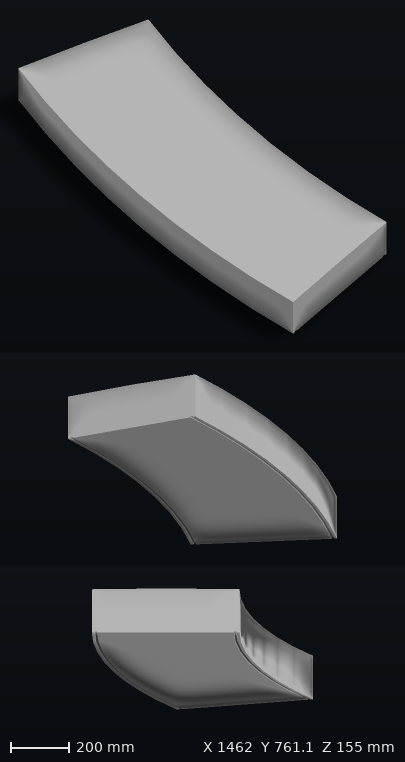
import cadquery as cq
import math

length_x = 1462.0
sweep_angle = 22.5
width = 509.0
edge_height = 152.0
ridge_height = 155.0

groove_radius = 5.0
groove_inset = 15.0

outer_radius = length_x / math.sin(math.radians(sweep_angle))
inner_radius = outer_radius - width
middle_radius = outer_radius - width / 2


def bend(section):
    """Turn a YZ section around the Z axis, from +X towards +Y."""
    return section.revolve(sweep_angle, (0, 0, 0), (0, 1, 0))


def slab():
    """Curved slab with a flat base and a top falling both ways from a central ridge."""
    section = (
        cq.Workplane("YZ")
        .moveTo(-outer_radius, 0)
        .lineTo(-inner_radius, 0)
        .lineTo(-inner_radius, edge_height)
        .lineTo(-middle_radius, ridge_height)
        .lineTo(-outer_radius, edge_height)
        .close()
    )
    return bend(section)


def drip_groove(bend_radius):
    """Round bar centred on the base plane, whose upper half cuts the groove."""
    return bend(cq.Workplane("YZ").moveTo(-bend_radius, 0).circle(groove_radius))


result = slab()
for groove_bend_radius in (inner_radius + groove_inset, outer_radius - groove_inset):
    result = result.cut(drip_groove(groove_bend_radius))